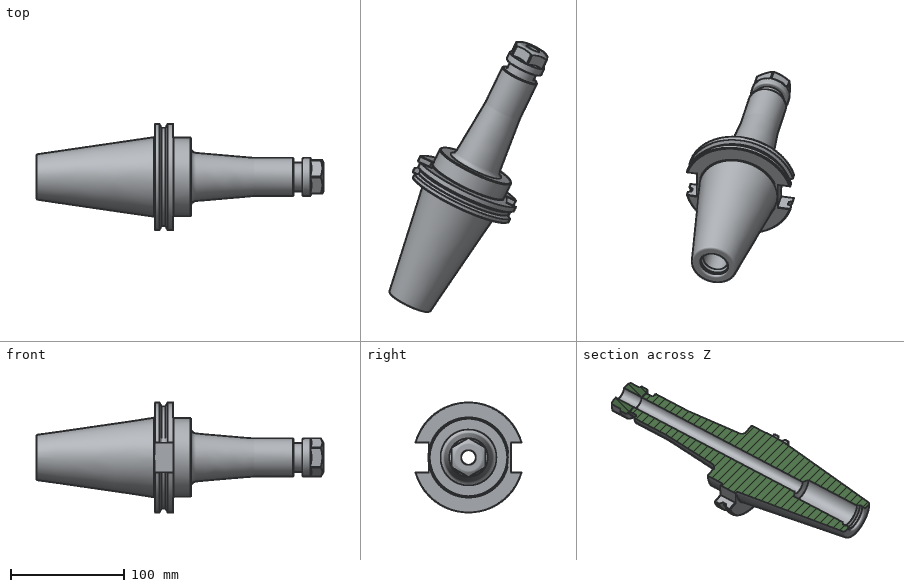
import cadquery as cq
import math


gauge_diameter = 69.85
taper_ratio = 7 / 24
taper_length = 101.75
rear_rounding = 2.0
collar_diameter = 70.2

flange_diameter = 97.5
flange_start = 2.8
flange_end = 19.1
flange_chamfer = 0.8
flange_root_fillet = 0.6
groove_center = 10.7
groove_floor_diameter = 90.8
groove_floor_width = 3.5
groove_floor_fillet = 0.4
groove_flank_angle = 30

slot_width = 25.7
slot_edge_chamfer = 0.5
front_slot_floor = 35.3
back_slot_floor = 37.7

hub_end = 35.0
hub_chamfer = 0.8
neck_root_radius = 5.0
neck_cone_start = 39.3
neck_cone_end = 90.6
neck_cone_diameter = 42.8
nose_diameter = 34.0
nose_end = 125.8
nose_chamfer = 0.8
spigot_diameter = 26.0
spigot_root_fillet = 0.5

recess_diameter = 25.0
recess_mouth_fillet = 1.5
recess_depth = 3.5
undercut_diameter = 26.2
undercut_end_depth = 6.2
bore_lead_in_angle = 45
bore_diameter = 22.23
bore_depth = 60.0
drill_point_angle = 118
through_diameter = 12.75

nut_end = 152.27
nut_length = 19.0
nut_diameter = 34.0
nut_rear_fillet = 1.5
nut_collar_length = 7.0
nut_collar_slope_length = 1.4
hex_across_flats = 30.0
nut_face_diameter = 25.0
nut_face_taper_length = 2.5
nut_face_fillet = 3.0

nut_start = nut_end - nut_length


def revolve_about_x(profile):
    """Turn a closed (x, radius) profile about the X axis."""
    return profile.close().revolve(360, (0, 0, 0), (1, 0, 0))


def turned_shank():
    """Taper, collar, hub, neck cone, nose and the spigot that enters the nut."""
    rear_x = -taper_length
    rear_radius = (gauge_diameter - taper_ratio * taper_length) / 2
    collar_start = (collar_diameter - gauge_diameter) / taper_ratio
    hub_radius = gauge_diameter / 2
    cone_start_radius = neck_cone_diameter / 2
    nose_radius = nose_diameter / 2
    spigot_radius = spigot_diameter / 2
    cone_angle = math.atan2(cone_start_radius - nose_radius, neck_cone_end - neck_cone_start)

    fillet_x = neck_cone_start + neck_root_radius * math.sin(cone_angle)
    fillet_r = cone_start_radius + neck_root_radius * math.cos(cone_angle)
    root_angle = math.acos((fillet_x - hub_end) / neck_root_radius)
    root_radius = fillet_r - neck_root_radius * math.sin(root_angle)
    mid_angle = (root_angle + math.pi / 2 - cone_angle) / 2
    fillet_mid = (
        fillet_x - neck_root_radius * math.cos(mid_angle),
        fillet_r - neck_root_radius * math.sin(mid_angle),
    )

    profile = (
        cq.Workplane("XY")
        .moveTo(rear_x, 0)
        .lineTo(rear_x, rear_radius)
        .lineTo(collar_start, collar_diameter / 2)
        .lineTo(flange_start - flange_root_fillet, collar_diameter / 2)
        .radiusArc((flange_start, collar_diameter / 2 + flange_root_fillet), -flange_root_fillet)
        .lineTo(flange_end, hub_radius + flange_root_fillet)
        .radiusArc((flange_end + flange_root_fillet, hub_radius), -flange_root_fillet)
        .lineTo(hub_end - hub_chamfer, hub_radius)
        .lineTo(hub_end, hub_radius - hub_chamfer)
        .lineTo(hub_end, root_radius)
        .threePointArc(fillet_mid, (neck_cone_start, cone_start_radius))
        .lineTo(neck_cone_end, nose_radius)
        .lineTo(nose_end - nose_chamfer, nose_radius)
        .lineTo(nose_end, nose_radius - nose_chamfer)
        .lineTo(nose_end, spigot_radius + spigot_root_fillet)
        .radiusArc((nose_end + spigot_root_fillet, spigot_radius), -spigot_root_fillet)
        .lineTo(nut_start, spigot_radius)
        .lineTo(nut_start, 0)
    )
    return revolve_about_x(profile).faces("<X").edges().fillet(rear_rounding)


def drive_slots(start):
    """Cutters for both slots, running from start to the hub side of the flange."""
    outer = flange_diameter / 2
    cutters = cq.Workplane("XY")
    for side, floor_distance in ((-1, front_slot_floor), (1, back_slot_floor)):
        cutter = (
            cq.Workplane("XY")
            .box(flange_end - start, outer, slot_width, centered=(False, True, True))
            .translate((start, side * (floor_distance + outer / 2), 0))
        )
        cutters = cutters.add(cutter)
    return cutters.combine()


def slotted_blank():
    """Plain flange disc with both slots, chamfered along the slot walls and mouths."""
    thickness = flange_end - flange_start
    blank = (
        cq.Workplane("YZ")
        .circle(flange_diameter / 2)
        .extrude(thickness)
        .translate((flange_start, 0, 0))
        .cut(drive_slots(flange_start))
    )
    wall_edges = blank.faces("|Z").edges("|Y")
    mouth_edges = blank.faces("%CYLINDER").edges("|X")
    return wall_edges.add(mouth_edges).chamfer(slot_edge_chamfer)


def gripper_flange():
    """Disc with a chamfered rear rim and a V groove."""
    outer = flange_diameter / 2
    floor = groove_floor_diameter / 2
    floor_half = groove_floor_width / 2
    mouth_half = floor_half + (outer - floor) * math.tan(math.radians(groove_flank_angle))
    profile = (
        cq.Workplane("XY")
        .moveTo(flange_start, 0)
        .lineTo(flange_start, outer - flange_chamfer)
        .lineTo(flange_start + flange_chamfer, outer)
        .lineTo(groove_center - mouth_half, outer)
        .lineTo(groove_center - floor_half, floor)
        .lineTo(groove_center + floor_half, floor)
        .lineTo(groove_center + mouth_half, outer)
        .lineTo(flange_end, outer)
        .lineTo(flange_end, 0)
    )
    floor_edges = cq.selectors.RadiusNthSelector(0)
    disc = revolve_about_x(profile).edges(floor_edges).fillet(groove_floor_fillet)
    return disc.intersect(slotted_blank())


def rear_bore():
    """Stepped bore from the small end of the taper, with a drill point and a through hole."""
    rear_x = -taper_length
    bore_end = rear_x + bore_depth
    recess_radius = recess_diameter / 2
    undercut_radius = undercut_diameter / 2
    bore_radius = bore_diameter / 2
    through_radius = through_diameter / 2
    lead_in_length = (undercut_radius - bore_radius) / math.tan(math.radians(bore_lead_in_angle))
    point_length = (bore_radius - through_radius) / math.tan(math.radians(drill_point_angle / 2))
    profile = (
        cq.Workplane("XY")
        .moveTo(rear_x, 0)
        .lineTo(rear_x, recess_radius + recess_mouth_fillet)
        .radiusArc((rear_x + recess_mouth_fillet, recess_radius), -recess_mouth_fillet)
        .lineTo(rear_x + recess_depth, recess_radius)
        .lineTo(rear_x + recess_depth, undercut_radius)
        .lineTo(rear_x + undercut_end_depth, undercut_radius)
        .lineTo(rear_x + undercut_end_depth + lead_in_length, bore_radius)
        .lineTo(bore_end, bore_radius)
        .lineTo(bore_end + point_length, through_radius)
        .lineTo(nut_start, through_radius)
        .lineTo(nut_start, 0)
    )
    return revolve_about_x(profile)


def make_holder():
    shank = turned_shank().cut(drive_slots(flange_start - flange_root_fillet))
    return shank.union(gripper_flange()).cut(rear_bore())


def make_nut():
    """Turned nut whose front is a hexagon with flats facing -Y and +Y."""
    hex_start = nut_start + nut_collar_length
    outer = nut_diameter / 2
    profile = (
        cq.Workplane("XY")
        .moveTo(nut_start, through_diameter / 2)
        .lineTo(nut_start, outer - nut_rear_fillet)
        .radiusArc((nut_start + nut_rear_fillet, outer), nut_rear_fillet)
        .lineTo(nut_end - nut_face_taper_length, outer)
        .lineTo(nut_end, nut_face_diameter / 2)
        .lineTo(nut_end, through_diameter / 2)
    )
    hexagon = (
        cq.Workplane("YZ")
        .polygon(6, hex_across_flats, circumscribed=True)
        .extrude(nut_end - hex_start)
        .translate((hex_start, 0, 0))
    )
    collar = revolve_about_x(
        cq.Workplane("XY")
        .moveTo(nut_start, 0)
        .lineTo(nut_start, outer)
        .lineTo(hex_start, outer)
        .lineTo(hex_start + nut_collar_slope_length, hex_across_flats / 2)
        .lineTo(hex_start + nut_collar_slope_length, 0)
    )
    turned = revolve_about_x(profile)
    turned = turned.faces(">X").edges(cq.selectors.RadiusNthSelector(-1)).fillet(nut_face_fillet)
    return turned.intersect(hexagon.union(collar))


holder = make_holder()
nut = make_nut()
result = cq.Compound.makeCompound([holder.val(), nut.val()])